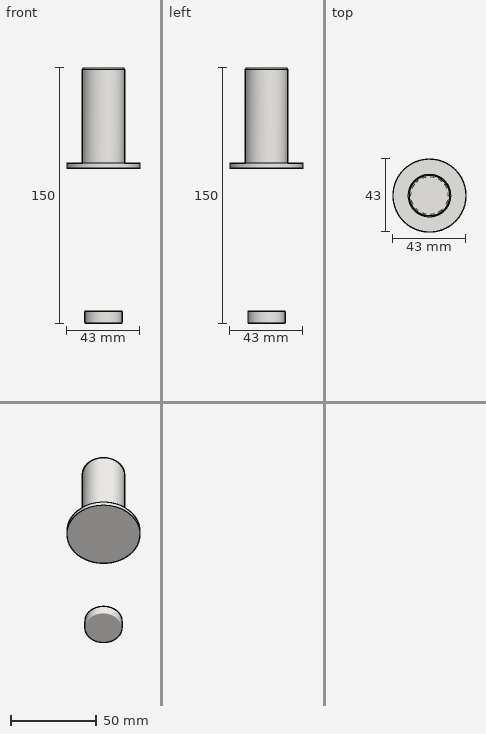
import cadquery as cq

total_height = 150.0

flange_diameter = 43.0
flange_thickness = 3.0
shank_diameter = 25.0
pin_height = 59.0
shank_chamfer_height = 1.0
shank_chamfer_width = 0.68

plug_diameter = 22.0
plug_thickness = 7.2
plug_edge_radius = 0.6


def make_flanged_pin():
    """Round shank with a chamfered top, standing on a thin flange."""
    flange = cq.Workplane("XY").circle(flange_diameter / 2).extrude(flange_thickness)
    shank = (
        cq.Workplane("XY")
        .circle(shank_diameter / 2)
        .extrude(pin_height)
        .faces(">Z")
        .chamfer(shank_chamfer_height, shank_chamfer_width)
    )
    return flange.union(shank).translate((0, 0, total_height - pin_height))


def make_plug():
    """Short disc with both rims rounded."""
    return (
        cq.Workplane("XY")
        .circle(plug_diameter / 2)
        .extrude(plug_thickness)
        .faces("<Z or >Z")
        .fillet(plug_edge_radius)
    )


flanged_pin = make_flanged_pin()
plug = make_plug()

result = cq.Compound.makeCompound([flanged_pin.val(), plug.val()])